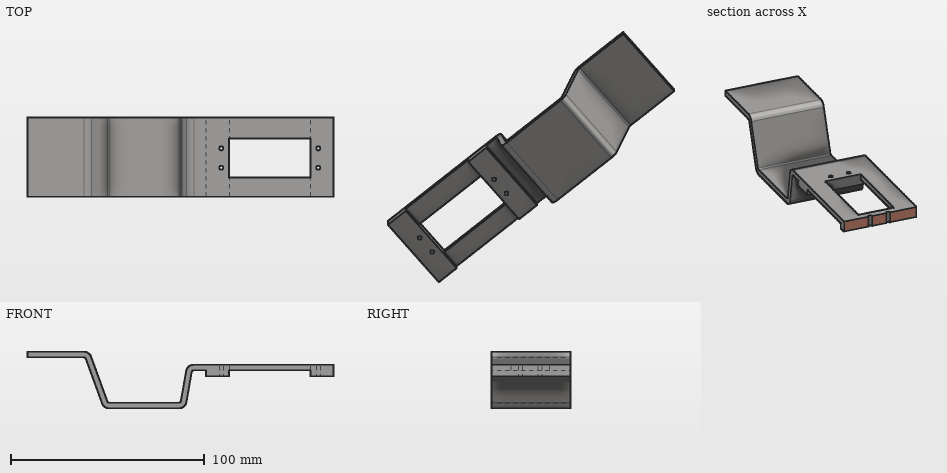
import cadquery as cq
import math

length = 158.05
width = 41.0
height = 29.31
thickness = 3.0
inner_radius = 1.0
outer_radius = inner_radius + thickness

tab_length = 29.2
floor_length = 35.9
tab_wall_angle = 70.0
plate_wall_angle = 80.0
plate_drop = 6.7

servo_length = 42.0
servo_width = 20.0
end_pad_length = 12.0
inner_pad_length = 12.0
pad_thickness = 3.0
servo_center_y = -0.5
screw_spacing_x = 50.0
screw_spacing_y = 10.0
screw_diameter = 2.0

plate_top = height - plate_drop
plate_bottom = plate_top - thickness
servo_end_x = length - end_pad_length
servo_start_x = servo_end_x - servo_length
servo_center_x = servo_end_x - servo_length / 2


def wall_run(rise, angle):
    """Horizontal distance between the flats joined by a wall and its two bends."""
    turn = math.radians(angle)
    bend_radii = inner_radius + outer_radius
    wall_length = (rise - bend_radii * (1 - math.cos(turn))) / math.sin(turn)
    return bend_radii * math.sin(turn) + wall_length * math.cos(turn)


floor_start_x = tab_length + wall_run(height - thickness, tab_wall_angle)
floor_end_x = floor_start_x + floor_length
plate_start_x = floor_end_x + wall_run(plate_bottom, plate_wall_angle)


def bend_point(center, radius, angle):
    """Point on a bend, with the angle in degrees counterclockwise from +X."""
    turn = math.radians(angle)
    return (center[0] + radius * math.cos(turn), center[1] + radius * math.sin(turn))


def add_bend(outline, center, radius, start_angle, end_angle):
    """Run the outline to the start of a bend and round it to the bend's end."""
    middle_angle = (start_angle + end_angle) / 2
    return outline.lineTo(*bend_point(center, radius, start_angle)).threePointArc(
        bend_point(center, radius, middle_angle),
        bend_point(center, radius, end_angle),
    )


def make_strip():
    tab_bend = (tab_length, height - outer_radius)
    floor_start_bend = (floor_start_x, outer_radius)
    floor_end_bend = (floor_end_x, outer_radius)
    plate_bend = (plate_start_x, plate_top - outer_radius)

    outline = cq.Workplane("XZ").moveTo(0, height)
    outline = add_bend(outline, tab_bend, outer_radius, 90, 90 - tab_wall_angle)
    outline = add_bend(outline, floor_start_bend, inner_radius, 270 - tab_wall_angle, 270)
    outline = add_bend(outline, floor_end_bend, inner_radius, 270, 270 + plate_wall_angle)
    outline = add_bend(outline, plate_bend, outer_radius, 90 + plate_wall_angle, 90)
    outline = outline.lineTo(length, plate_top).lineTo(length, plate_bottom)
    outline = add_bend(outline, plate_bend, inner_radius, 90, 90 + plate_wall_angle)
    outline = add_bend(outline, floor_end_bend, outer_radius, 270 + plate_wall_angle, 270)
    outline = add_bend(outline, floor_start_bend, outer_radius, 270, 270 - tab_wall_angle)
    outline = add_bend(outline, tab_bend, inner_radius, 90 - tab_wall_angle, 90)
    outline = outline.lineTo(0, height - thickness).close()
    return outline.extrude(width / 2, both=True)


def make_pad(start_x, pad_length):
    """Full-width pad that thickens the servo plate down to the pad underside."""
    return (
        cq.Workplane("XY", origin=(start_x + pad_length / 2, 0, plate_top))
        .rect(pad_length, width)
        .extrude(-(thickness + pad_thickness))
    )


def cut_servo_mount(body):
    """Servo window with two screw holes through the pad at each end."""
    cut_depth = thickness + pad_thickness
    mount = cq.Workplane("XY", origin=(servo_center_x, servo_center_y, plate_top))
    window = mount.rect(servo_length, servo_width).extrude(-cut_depth)
    screw_holes = (
        mount.rect(screw_spacing_x, screw_spacing_y, forConstruction=True)
        .vertices()
        .circle(screw_diameter / 2)
        .extrude(-cut_depth)
    )
    return body.cut(window).cut(screw_holes)


strip = make_strip()
inner_pad = make_pad(servo_start_x - inner_pad_length, inner_pad_length)
end_pad = make_pad(servo_end_x, end_pad_length)
result = cut_servo_mount(strip.union(inner_pad).union(end_pad))